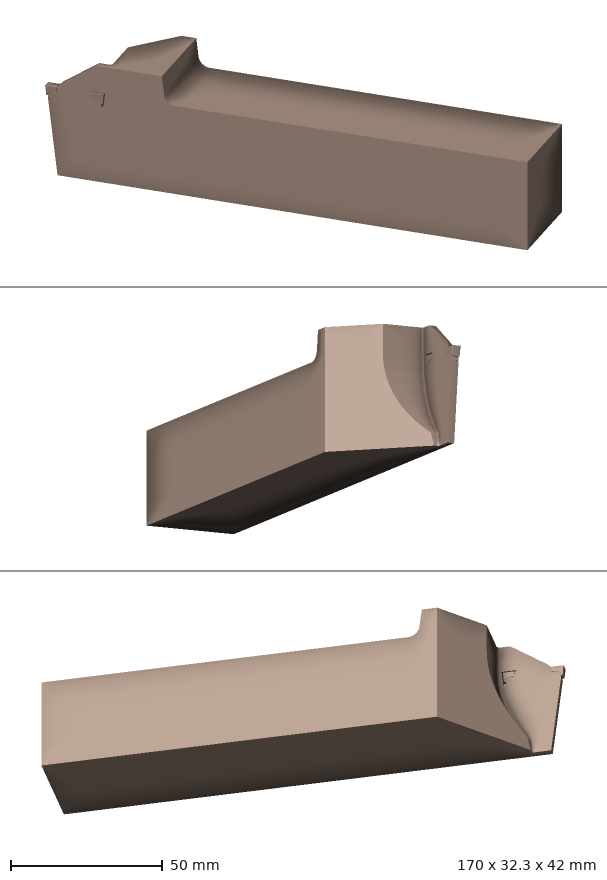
import cadquery as cq
import math


TOTAL_LENGTH = 170.0
SHANK_SIZE = 32.0
HEAD_HEIGHT = 42.0
RELIEF = math.tan(math.radians(7.0))

INSERT_WIDTH = 3.0
INSERT_OVERHANG = 0.29
INSERT_LENGTH = 20.7
EDGE_HEIGHT = SHANK_SIZE
JAW_HEIGHT = 32.5
SEAT_HEIGHT = 27.2
HEAD_LENGTH = 4.1
RAMP_LENGTH = 0.7
FLANK_BOTTOM = 28.5
FLANK_SETBACK = 0.4
UNDERCUT_SETBACK = 1.1
FOOT_SETBACK = 0.9
HEAD_DEPTH = 1.7
HEAD_LEVEL_START = 3.0
HEAD_KNEE = (0.9, 29.4)
HEAD_FOOT = 0.6
HEAD_BOTTOM_WIDTH = 2.6
CORNER_RADIUS = 0.25

BLADE_THICKNESS = INSERT_WIDTH - 2 * INSERT_OVERHANG
BLADE_FRONT = 1.0
JAW_FRONT = 5.4
JAW_NOSE_HEIGHT = 0.7
JAW_SLOPE_END = 18.2
HEAD_BACK = 41.1
HEAD_FILLET = 4.0
SLOT_END = 21.1

RELIEF_WALL = 22.6
RELIEF_RADIUS = 40.0
RELIEF_ARC_ANGLE = 60.0
RELIEF_ARC_BOTTOM = 4.5
RELIEF_KNEE = 11.6
RELIEF_FOOT = 10.8
RELIEF_FILLET = 0.8

BEVEL_START = 35.9
BEVEL_ANGLE = 42.0
BEVEL_INNER_Y = 3.5

MARGIN = 5.0


def extrude_y(sketch, y_start, y_end):
    """Extrude an X-Z outline from y_start to y_end."""
    return sketch.extrude(-(y_end - y_start)).translate((0, y_start, 0))


def make_blank():
    """Side outline of shank, blade and clamping head, at full width."""
    bottom_front = BLADE_FRONT + RELIEF * SEAT_HEIGHT
    root_x = HEAD_BACK + RELIEF * (HEAD_HEIGHT - SHANK_SIZE)
    outline = (
        cq.Workplane("XZ")
        .moveTo(bottom_front, 0)
        .lineTo(TOTAL_LENGTH, 0)
        .lineTo(TOTAL_LENGTH, SHANK_SIZE)
        .lineTo(root_x, SHANK_SIZE)
        .lineTo(HEAD_BACK, HEAD_HEIGHT)
        .lineTo(JAW_SLOPE_END, HEAD_HEIGHT)
        .lineTo(JAW_FRONT, JAW_HEIGHT + JAW_NOSE_HEIGHT)
        .lineTo(JAW_FRONT, SEAT_HEIGHT)
        .lineTo(BLADE_FRONT, SEAT_HEIGHT)
        .close()
    )
    blank = extrude_y(outline, 0, SHANK_SIZE)
    root_edge = cq.selectors.NearestToPointSelector((root_x, SHANK_SIZE / 2, SHANK_SIZE))
    return blank.edges(root_edge).fillet(HEAD_FILLET)


def make_bevel_cutter():
    """Wedge that removes the front +Y corner over the full height."""
    slope = math.tan(math.radians(BEVEL_ANGLE))
    front_x = BEVEL_START - slope * (SHANK_SIZE - BEVEL_INNER_Y)
    outer_x = BEVEL_START + slope * MARGIN
    outer_y = SHANK_SIZE + MARGIN
    return (
        cq.Workplane("XY", origin=(0, 0, -MARGIN))
        .polyline([
            (-MARGIN, BEVEL_INNER_Y),
            (front_x, BEVEL_INNER_Y),
            (outer_x, outer_y),
            (-MARGIN, outer_y),
        ])
        .close()
        .extrude(HEAD_HEIGHT + 2 * MARGIN)
    )


def extrude_relief(outline):
    """Cutter behind the blade with its edge rounded along the blade."""
    cutter = extrude_y(outline, BLADE_THICKNESS, SHANK_SIZE + MARGIN)
    return cutter.faces("<Y").edges(">X or %CIRCLE").fillet(RELIEF_FILLET)


def make_upper_relief_cutter():
    """Vertical wall running tangentially into a round wall."""
    center_x = RELIEF_WALL - RELIEF_RADIUS
    half_angle = math.radians(RELIEF_ARC_ANGLE / 2)
    full_angle = math.radians(RELIEF_ARC_ANGLE)
    arc_middle, arc_end = [
        (
            center_x + RELIEF_RADIUS * math.cos(angle),
            SHANK_SIZE - RELIEF_RADIUS * math.sin(angle),
        )
        for angle in (half_angle, full_angle)
    ]
    outline = (
        cq.Workplane("XZ")
        .moveTo(-MARGIN, HEAD_HEIGHT + MARGIN)
        .lineTo(RELIEF_WALL, HEAD_HEIGHT + MARGIN)
        .lineTo(RELIEF_WALL, SHANK_SIZE)
        .threePointArc(arc_middle, arc_end)
        .lineTo(-MARGIN, arc_end[1])
        .close()
    )
    return extrude_relief(outline)


def make_lower_relief_cutter():
    """Steep wall below the round wall."""
    top = SHANK_SIZE / 2
    foot_slope = (RELIEF_KNEE - RELIEF_FOOT) / RELIEF_ARC_BOTTOM
    outline = cq.Workplane("XZ").polyline([
        (-MARGIN, top),
        (RELIEF_FOOT + foot_slope * top, top),
        (RELIEF_FOOT - foot_slope * MARGIN, -MARGIN),
        (-MARGIN, -MARGIN),
    ]).close()
    return extrude_relief(outline)


def make_slot_cutter():
    """Insert slot, open at the front, with a sloping end."""
    outline = cq.Workplane("XZ").polyline([
        (-MARGIN, SEAT_HEIGHT),
        (SLOT_END - RELIEF * (JAW_HEIGHT - SEAT_HEIGHT), SEAT_HEIGHT),
        (SLOT_END, JAW_HEIGHT),
        (-MARGIN, JAW_HEIGHT),
    ]).close()
    return extrude_y(outline, -MARGIN, SHANK_SIZE)


def make_holder():
    return (
        make_blank()
        .cut(make_bevel_cutter())
        .cut(make_upper_relief_cutter())
        .cut(make_lower_relief_cutter())
        .cut(make_slot_cutter())
    )


def make_insert_body():
    """Insert bar, as wide as the blade, symmetric end to end."""
    front_points = [
        (FOOT_SETBACK, SEAT_HEIGHT),
        (UNDERCUT_SETBACK, FLANK_BOTTOM),
        (FLANK_SETBACK, FLANK_BOTTOM),
        (0, EDGE_HEIGHT),
        (HEAD_LENGTH, EDGE_HEIGHT),
        (HEAD_LENGTH + RAMP_LENGTH, JAW_HEIGHT),
    ]
    back_points = [(INSERT_LENGTH - x, z) for x, z in reversed(front_points)]
    outline = cq.Workplane("XZ").polyline(front_points + back_points).close()
    return extrude_y(outline, 0, BLADE_THICKNESS)


def make_cutting_head():
    """Wide cutting head at the front end, narrowing downward."""
    outline = cq.Workplane("XZ").polyline([
        (0, EDGE_HEIGHT),
        (HEAD_LENGTH, EDGE_HEIGHT),
        (HEAD_LENGTH, EDGE_HEIGHT - HEAD_DEPTH),
        (HEAD_LEVEL_START, EDGE_HEIGHT - HEAD_DEPTH),
        HEAD_KNEE,
        (HEAD_FOOT, FLANK_BOTTOM),
        (FLANK_SETBACK, FLANK_BOTTOM),
    ]).close()
    middle_y = BLADE_THICKNESS / 2
    block = extrude_y(outline, middle_y - INSERT_WIDTH / 2, middle_y + INSERT_WIDTH / 2)
    flank_middle = (FLANK_SETBACK / 2, (EDGE_HEIGHT + FLANK_BOTTOM) / 2)
    for side in (-1, 1):
        corner = (flank_middle[0], middle_y + side * INSERT_WIDTH / 2, flank_middle[1])
        corner_edge = cq.selectors.NearestToPointSelector(corner)
        block = block.edges(corner_edge).fillet(CORNER_RADIUS)
    taper = (
        cq.Workplane("YZ")
        .polyline([
            (middle_y - INSERT_WIDTH / 2, EDGE_HEIGHT),
            (middle_y + INSERT_WIDTH / 2, EDGE_HEIGHT),
            (middle_y + HEAD_BOTTOM_WIDTH / 2, FLANK_BOTTOM),
            (middle_y - HEAD_BOTTOM_WIDTH / 2, FLANK_BOTTOM),
        ])
        .close()
        .extrude(HEAD_LENGTH)
    )
    return block.intersect(taper)


def make_insert():
    front_head = make_cutting_head()
    back_head = front_head.mirror("YZ", (INSERT_LENGTH / 2, 0, 0))
    return make_insert_body().union(front_head).union(back_head)


holder = make_holder()
insert = make_insert()
result = cq.Compound.makeCompound([holder.solids().val(), insert.solids().val()])